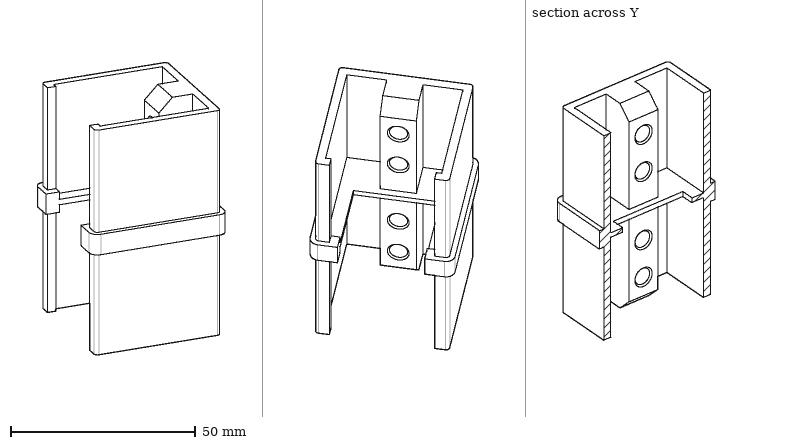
import cadquery as cq

height = 66.0
channel_width = 37.0
wall = 2.5
channel_corner_radius = 1.0
lip_width = 4.0

collar_width = 40.0
collar_height = 6.0
collar_opening = 24.0
collar_corner_radius = channel_corner_radius + (collar_width - channel_width) / 2

web_thickness = 1.6
web_opening_end = 4.0

boss_width = 10.0
boss_depth = 10.0
boss_chamfer = 4.0

hole_diameter = 5.0
hole_rim_diameter = 6.0
hole_heights = (11.0, 23.0)

cavity_width = channel_width - 2 * wall
cavity_back = cavity_width / 2
boss_front = cavity_back - boss_depth


def square_bar(width, length):
    """Square bar along Z, centred on the origin."""
    return cq.Workplane("XY").box(width, width, length)


def front_slot(width, back):
    """Full-height cutter from beyond the front face to Y = back."""
    front = -collar_width
    return cq.Workplane("XY").box(width, back - front, height).translate((0, (front + back) / 2, 0))


def make_channel():
    outer = square_bar(channel_width, height).edges("|Z").fillet(channel_corner_radius)
    slot_width = channel_width - 2 * lip_width
    return outer.cut(square_bar(cavity_width, height)).cut(front_slot(slot_width, 0))


def make_collar():
    outer = square_bar(collar_width, collar_height).edges("|Z").fillet(collar_corner_radius)
    return outer.cut(square_bar(cavity_width, collar_height)).cut(front_slot(collar_opening, 0))


def make_web():
    web = square_bar(cavity_width, web_thickness)
    return web.cut(front_slot(collar_opening, web_opening_end))


def make_boss():
    boss = cq.Workplane("XY").box(boss_width, boss_depth, height)
    boss = boss.edges("<Y and |X").chamfer(boss_chamfer)
    return boss.translate((0, boss_front + boss_depth / 2, 0))


def make_hole(z):
    """Through hole along Y with a 45 degree countersink at the boss face."""
    rim_depth = (hole_rim_diameter - hole_diameter) / 2
    direction = cq.Vector(0, 1, 0)
    start = cq.Vector(0, boss_front, z)
    bore = cq.Solid.makeCylinder(hole_diameter / 2, collar_width, start, direction)
    rim = cq.Solid.makeCone(hole_rim_diameter / 2, hole_diameter / 2, rim_depth, start, direction)
    return cq.Workplane("XY").add(bore.fuse(rim))


result = make_channel().union(make_collar()).union(make_web()).union(make_boss())
for hole_height in hole_heights:
    for side in (-1, 1):
        result = result.cut(make_hole(side * hole_height))